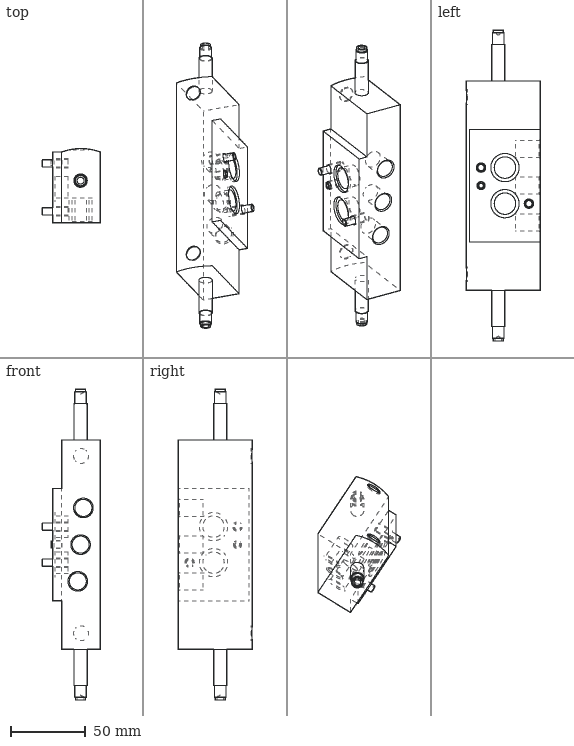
import cadquery as cq
import math

body_depth = 32.0
body_height = 75.0
block_depth = 26.0
blocks_height = 140.0
side_width = 47.5
bulge_radius = 38.0
bulge_edge_radius = 0.5
block_back = body_depth - block_depth
block_middle = block_back + block_depth / 2
bulge_rise = bulge_radius - math.sqrt(bulge_radius**2 - (block_depth / 2) ** 2)
bulge_top = (block_middle, side_width + bulge_rise)

overall_height = 208
stem_x = 18.7
stem_y = 28.18
stem_diameter = 9.0
stem_shoulder_z = 94.2
neck_diameter = 8.0
neck_shoulder_z = 102.0
collar_diameter = 7.5
collar_z = 102.3
tip_diameter = 6.9
stem_hole_diameter = 4.5
stem_hole_depth = 2.0
stem_hole_cone = 1.2

override_diameter = 10.0
override_depth = 1.0
override_z = 59.3

mount_y = 23.7
port_offset_z = 12.0
seal_diameter = 19.0
seal_depth = 1.7
port_diameter = 14.4
port_depth = 10.5

screw_offset_y = 16.0
screw_diameter = 5.0
screw_chamfer = 0.5
screw_protrusion = 7.0
screw_hole_diameter = 6.2
screw_hole_depth = 10.5

pin_y = mount_y + screw_offset_y
pin_diameter = 4.5
pin_bore_diameter = 3.1
pin_bore_depth = 2.0
pin_protrusion = 1.0
pin_hole_diameter = 5.5
pin_hole_depth = 6.2

side_port_diameter = 11.5
side_port_chamfer = 0.8
side_port_depth = 16.6
side_port_spacing = 24.5
side_port_shift = 1.9

screw_places = [
    (mount_y + screw_offset_y, port_offset_z),
    (mount_y - screw_offset_y, -port_offset_z),
]


def cylinder_along_x(diameter, start_x, length, y, z):
    return cq.Workplane("YZ", origin=(start_x, y, z)).circle(diameter / 2).extrude(length)


def make_bulged_prism(back_x, height):
    """Prism with a flat strip from back_x to the pilot blocks, then the bulged side."""
    outline = (
        cq.Workplane("XY")
        .workplane(offset=-height / 2)
        .moveTo(back_x, 0)
        .lineTo(body_depth, 0)
        .lineTo(body_depth, side_width)
        .threePointArc(bulge_top, (block_back, side_width))
    )
    if back_x < block_back:
        outline = outline.lineTo(back_x, side_width)
    prism = outline.close().extrude(height)
    return prism.edges("|Z").edges(">Y").edges("<X or >X").fillet(bulge_edge_radius)


def make_stem():
    """Upper stem, turned about its own axis, with a drilled end."""
    top = overall_height / 2
    hole_radius = stem_hole_diameter / 2
    profile = [
        (0, 0),
        (stem_diameter / 2, 0),
        (stem_diameter / 2, stem_shoulder_z),
        (neck_diameter / 2, stem_shoulder_z),
        (neck_diameter / 2, neck_shoulder_z),
        (collar_diameter / 2, collar_z),
        (tip_diameter / 2, collar_z),
        (tip_diameter / 2, top),
        (hole_radius, top),
        (hole_radius, top - stem_hole_depth),
        (0, top - stem_hole_depth - stem_hole_cone),
    ]
    stem = cq.Workplane("XZ").polyline(profile).close().revolve(360, (0, 0), (0, 1))
    return stem.translate((stem_x, stem_y, 0))


def make_side_port(x, z):
    """Cutter for one port in the Y = 0 face: a bore with a chamfered mouth."""
    bore_radius = side_port_diameter / 2
    bore = cq.Workplane("XZ", origin=(x, 0, z)).circle(bore_radius).extrude(-side_port_depth)
    mouth = (
        cq.Workplane("XZ", origin=(x, 0, z))
        .circle(bore_radius + side_port_chamfer)
        .workplane(offset=-side_port_chamfer)
        .circle(bore_radius)
        .loft()
    )
    return bore.union(mouth)


def make_override_recess(z):
    return (
        cq.Workplane("XZ", origin=(block_middle, side_width + bulge_rise, z))
        .circle(override_diameter / 2)
        .extrude(override_depth)
    )


def make_housing():
    stem = make_stem()
    housing = make_bulged_prism(0, body_height)
    housing = housing.union(make_bulged_prism(block_back, blocks_height))
    housing = housing.union(stem).union(stem.mirror("XY"))
    for side in (1, -1):
        port_z = side * port_offset_z
        housing = housing.cut(cylinder_along_x(seal_diameter, 0, seal_depth, mount_y, port_z))
        housing = housing.cut(cylinder_along_x(port_diameter, 0, port_depth, mount_y, port_z))
        housing = housing.cut(make_override_recess(side * override_z))
    for y, z in screw_places:
        housing = housing.cut(cylinder_along_x(screw_hole_diameter, 0, screw_hole_depth, y, z))
    housing = housing.cut(cylinder_along_x(pin_hole_diameter, 0, pin_hole_depth, pin_y, 0))
    for step in (-1, 0, 1):
        port_x = stem_x + step * side_port_shift
        housing = housing.cut(make_side_port(port_x, step * side_port_spacing))
    return housing


def make_screw(y, z):
    """Screw standing on the floor of its clearance hole."""
    length = screw_protrusion + screw_hole_depth
    screw = cylinder_along_x(screw_diameter, -screw_protrusion, length, y, z)
    return screw.faces("<X").chamfer(screw_chamfer)


def make_pin():
    """Locating pin standing on the floor of its hole, bored from its outer end."""
    length = pin_protrusion + pin_hole_depth
    pin = cylinder_along_x(pin_diameter, -pin_protrusion, length, pin_y, 0)
    return pin.cut(cylinder_along_x(pin_bore_diameter, -pin_protrusion, pin_bore_depth, pin_y, 0))


housing = make_housing()
screws = [make_screw(y, z).val() for y, z in screw_places]
pin = make_pin()

result = cq.Compound.makeCompound([housing.val(), *screws, pin.val()])